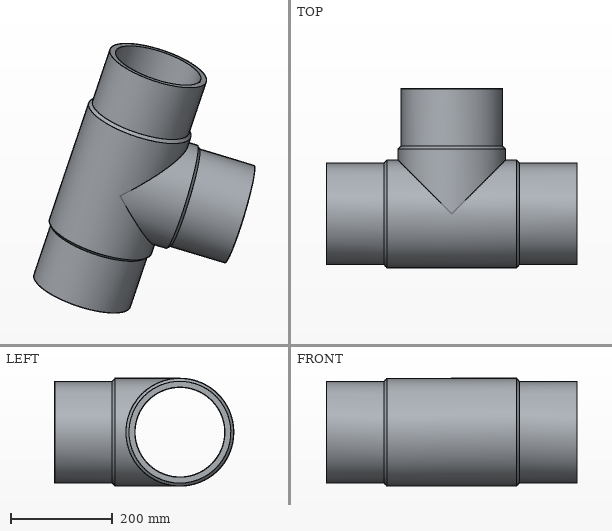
import cadquery as cq

pipe_diameter = 200.0
wall = 11.9
run_length = 492.0
spigot_length = 113.0

step = wall / 2
pipe_radius = pipe_diameter / 2
body_radius = pipe_radius + step
bore_radius = pipe_radius - wall
arm_length = run_length / 2
body_reach = arm_length - spigot_length

arm_directions = [(1, 0, 0), (-1, 0, 0), (0, 1, 0)]


def arm_cylinder(radius, length, direction):
    """Cylinder from the tee centre outwards along one arm."""
    return cq.Workplane(cq.Solid.makeCylinder(radius, length, cq.Vector(0, 0, 0), cq.Vector(*direction)))


def body_end_chamfer(direction):
    """45 degree cone leading from the body down to the spigot."""
    base = cq.Vector(*direction) * (body_reach - step)
    return cq.Workplane(cq.Solid.makeCone(body_radius, pipe_radius, step, base, cq.Vector(*direction)))


def solid_arm(direction):
    """One arm without its bore: thick body, chamfer and spigot."""
    body = arm_cylinder(body_radius, body_reach - step, direction)
    spigot = arm_cylinder(pipe_radius, arm_length, direction)
    return body.union(body_end_chamfer(direction)).union(spigot)


def join_arms(make_arm):
    """Union of the shape that make_arm gives for every arm."""
    joined = make_arm(arm_directions[0])
    for direction in arm_directions[1:]:
        joined = joined.union(make_arm(direction))
    return joined


def bore_arm(direction):
    """Bore of one arm, open at the spigot end."""
    return arm_cylinder(bore_radius, arm_length, direction)


result = join_arms(solid_arm).cut(join_arms(bore_arm)).clean()